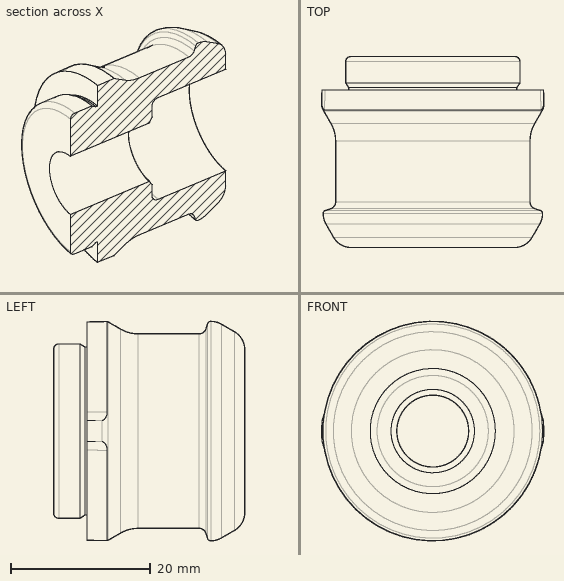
import cadquery as cq
import math


half_turn = math.pi
quarter_turn = math.pi / 2

total_length = 27.5
bead_crest_y = 4.9
neck_flare_y = 15.35
flange_back_y = 22.7
groove_end_y = 23.0

rim_radius = 31.6 / 2
neck_radius = 28.0 / 2
spigot_radius = 25.1 / 2

bead_round = 3.0
bead_slope = math.radians(30)
crest_round = 0.5
bead_back_tilt = math.radians(18)
bead_root_round = 1.0

flare_round = 5.0
flare_slope = math.radians(30)

spigot_round = 0.75
spigot_chamfer_length = 0.7
spigot_chamfer_depth = 0.45

bore_radius = 18.0 / 2
bore_depth = 13.0
bore_floor_round = 1.0
hole_radius = 10.3 / 2
hole_mouth_radius = 12.0 / 2
hole_chamfer_slope = math.radians(30)
hole_chamfer_depth = (hole_mouth_radius - hole_radius) * math.tan(hole_chamfer_slope)

flange_radius = 15.74
pad_radius = 15.955
pad_half_width = 1.5
pad_foot_half_width = 2.75
pad_foot_round = 5.0
flange_draft_degrees = 1.0
flange_front_round = 2.0
flange_front_radius = 16.0

flare_center = (neck_radius + flare_round, neck_flare_y)
flare_end = (
    flare_center[0] - flare_round * math.cos(flare_slope),
    flare_center[1] + flare_round * math.sin(flare_slope),
)
front_round_start_radius = flange_front_radius - flange_front_round * (1 - math.cos(flare_slope))
flange_front_y = flare_end[1] + (front_round_start_radius - flare_end[0]) / math.tan(flare_slope)
front_round_end_y = flange_front_y + flange_front_round * math.sin(flare_slope)


def arc_point(center, radius, angle):
    """Point on a circle given by its center, radius and angle."""
    return (center[0] + radius * math.cos(angle), center[1] + radius * math.sin(angle))


def add_arc(profile, center, radius, start, end):
    """Continue the profile along an arc from its current point, at the start angle, to the end angle."""
    middle = arc_point(center, radius, (start + end) / 2)
    return profile.threePointArc(middle, arc_point(center, radius, end))


def add_line_and_arc(profile, center, radius, start, end):
    """Continue the profile straight to the start of an arc and then along the arc."""
    profile = profile.lineTo(*arc_point(center, radius, start))
    return add_arc(profile, center, radius, start, end)


def revolve_about_y(profile):
    return profile.close().revolve(360, (0, 0, 0), (0, 1, 0))


def make_body():
    """Bead, neck, flare and spigot turned as one solid, without the flange."""
    side_length = bead_crest_y - bead_round
    nose_center = (rim_radius - bead_round - side_length * math.tan(bead_slope), bead_round)
    side_center = (rim_radius - bead_round, bead_crest_y)
    crest_center = (rim_radius - crest_round, bead_crest_y)

    back_run = (
        rim_radius - neck_radius
        - (crest_round + bead_root_round) * (1 - math.sin(bead_back_tilt))
    )
    root_y = (
        bead_crest_y
        + (crest_round + bead_root_round) * math.cos(bead_back_tilt)
        + back_run * math.tan(bead_back_tilt)
    )
    root_start = -quarter_turn - bead_back_tilt
    root_center = (neck_radius + bead_root_round, root_y)

    groove_radius = spigot_radius - spigot_chamfer_depth
    spigot_center = (spigot_radius - spigot_round, total_length - spigot_round)

    profile = cq.Workplane("XY").moveTo(0, 0)
    profile = add_line_and_arc(profile, nose_center, bead_round, -quarter_turn, -bead_slope)
    profile = add_line_and_arc(profile, side_center, bead_round, -bead_slope, 0)
    profile = add_arc(profile, crest_center, crest_round, 0, quarter_turn - bead_back_tilt)
    profile = add_line_and_arc(profile, root_center, bead_root_round, root_start, -half_turn)
    profile = add_line_and_arc(profile, flare_center, flare_round, half_turn, half_turn - flare_slope)
    profile = (
        profile.lineTo(front_round_start_radius, flange_front_y)
        .lineTo(groove_radius, flange_front_y)
        .lineTo(groove_radius, groove_end_y)
        .lineTo(spigot_radius, groove_end_y + spigot_chamfer_length)
    )
    profile = add_line_and_arc(profile, spigot_center, spigot_round, 0, quarter_turn)
    return revolve_about_y(profile.lineTo(0, total_length))


def make_flange_blank():
    """Drafted disc with two pads, growing from the flange back face towards the bead."""
    foot_angle = math.asin(pad_foot_half_width / flange_radius)
    top_angle = math.asin(pad_half_width / pad_radius)
    foot_center = arc_point((0, 0), flange_radius + pad_foot_round, foot_angle)
    foot = arc_point((0, 0), flange_radius, foot_angle)
    top = arc_point((0, 0), pad_radius, top_angle)
    chord_middle = ((foot[0] + top[0]) / 2, (foot[1] + top[1]) / 2)
    toward_chord = math.atan2(chord_middle[1] - foot_center[1], chord_middle[0] - foot_center[0])
    foot_middle = arc_point(foot_center, pad_foot_round, toward_chord)

    outline = cq.Workplane("XZ", origin=(0, flange_back_y, 0)).moveTo(top[0], -top[1])
    for side in (1, -1):
        outline = (
            outline.threePointArc((side * pad_radius, 0), (side * top[0], side * top[1]))
            .threePointArc((side * foot_middle[0], side * foot_middle[1]), (side * foot[0], side * foot[1]))
            .threePointArc((0, side * flange_radius), (-side * foot[0], side * foot[1]))
            .threePointArc((-side * foot_middle[0], side * foot_middle[1]), (-side * top[0], side * top[1]))
        )
    return outline.close().extrude(flange_back_y - flange_front_y, taper=-flange_draft_degrees)


def make_flange():
    """Flange blank with its front edge rounded into the flare."""
    round_center = (flange_front_radius - flange_front_round, front_round_end_y)
    envelope = cq.Workplane("XY").moveTo(0, flange_front_y).lineTo(front_round_start_radius, flange_front_y)
    envelope = add_arc(envelope, round_center, flange_front_round, -flare_slope, 0)
    envelope = envelope.lineTo(flange_front_radius, flange_back_y).lineTo(0, flange_back_y)
    return make_flange_blank().intersect(revolve_about_y(envelope))


def make_bore():
    """Cutter for the round-cornered bore and the chamfered through hole."""
    floor_center = (bore_radius - bore_floor_round, bore_depth - bore_floor_round)
    profile = cq.Workplane("XY").lineTo(bore_radius, 0)
    profile = add_line_and_arc(profile, floor_center, bore_floor_round, 0, quarter_turn)
    profile = (
        profile.lineTo(hole_mouth_radius, bore_depth)
        .lineTo(hole_radius, bore_depth + hole_chamfer_depth)
        .lineTo(hole_radius, total_length)
        .lineTo(0, total_length)
    )
    return revolve_about_y(profile)


result = make_body().union(make_flange()).cut(make_bore())